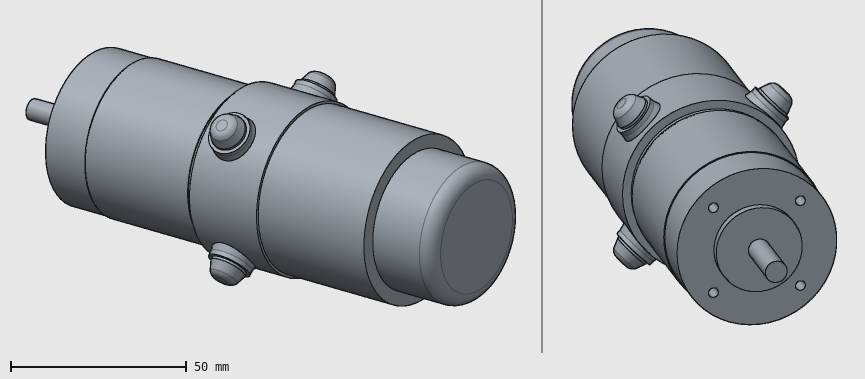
import cadquery as cq

overall_length = 159.4
pilot_front = 20.0
flange_front = 22.6
housing_front = 37.0
neck_front = 74.0
collar_front = 76.4
collar_rear = 100.5
cap_front = 138.4

shaft_radius = 3.2
pilot_radius = 12.6
flange_radius = 23.5
housing_radius = 23.8
neck_radius = 23.5
collar_radius = 26.0
rear_housing_radius = 25.2
cap_radius = 21.0
cap_edge_radius = 4.3

hole_offset = 12.8
hole_radius = 1.5
hole_depth = 6.4

gland_station = 86.2
gland_root_height = 22.3
gland_root_radius = 7.7
ring_bottom_height = 27.3
ring_top_height = 28.7
ring_radius = 6.5
nut_bottom_height = 29.5
nut_radius = 5.4
dome_bottom_height = 32.4
dome_radius = 4.3
tip_height = 33.6
tip_radius = 1.8
dome_mid_radius = 3.3
dome_mid_height = 33.3
gland_angles = (45, 135, 225, 315)


def cylinder_between(start, end, radius):
    """Solid cylinder on the motor axis between two stations."""
    return cq.Workplane("YZ", origin=(start, 0, 0)).circle(radius).extrude(end - start)


def make_body():
    cap = cylinder_between(cap_front, overall_length, cap_radius)
    body = cap.faces(">X").edges().fillet(cap_edge_radius)
    sections = (
        (0, pilot_front, shaft_radius),
        (pilot_front, flange_front, pilot_radius),
        (flange_front, housing_front, flange_radius),
        (housing_front, neck_front, housing_radius),
        (neck_front, collar_front, neck_radius),
        (collar_front, collar_rear, collar_radius),
        (collar_rear, cap_front, rear_housing_radius),
    )
    for start, end, radius in sections:
        body = body.union(cylinder_between(start, end, radius))
    return body


def make_gland():
    """Tapered root, retaining ring, tapered nut and domed tip, pointing along +Z."""
    profile = (
        cq.Workplane("XZ")
        .moveTo(0, gland_root_height)
        .lineTo(gland_root_radius, gland_root_height)
        .lineTo(ring_radius, ring_bottom_height)
        .lineTo(ring_radius, ring_top_height)
        .lineTo(nut_radius, ring_top_height)
        .lineTo(nut_radius, nut_bottom_height)
        .lineTo(dome_radius, dome_bottom_height)
        .threePointArc((dome_mid_radius, dome_mid_height), (tip_radius, tip_height))
        .lineTo(0, tip_height)
        .close()
    )
    gland = profile.revolve(360, (0, 0, 0), (0, 1, 0))
    return gland.translate((gland_station, 0, 0))


def make_mounting_holes():
    return (
        cq.Workplane("YZ", origin=(flange_front, 0, 0))
        .rect(2 * hole_offset, 2 * hole_offset, forConstruction=True)
        .vertices()
        .circle(hole_radius)
        .extrude(hole_depth)
    )


result = make_body()
for angle in gland_angles:
    result = result.union(make_gland().rotate((0, 0, 0), (1, 0, 0), angle))
result = result.cut(make_mounting_holes())